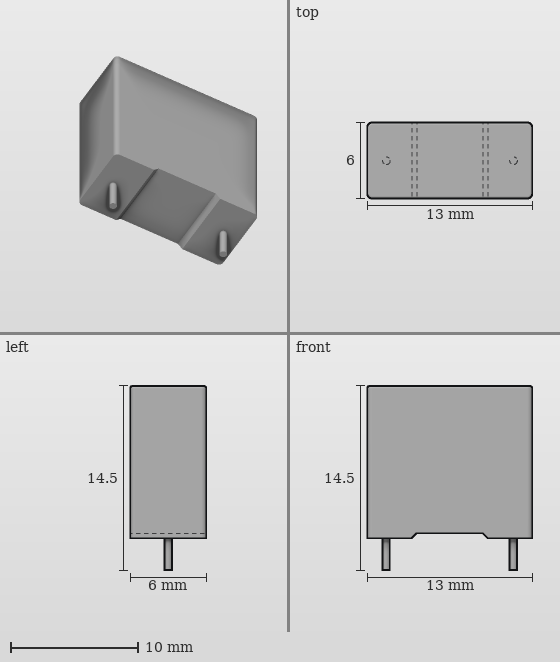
import cadquery as cq

body_length = 13.0
body_width = 6.0
body_height = 12.0
side_edge_radius = 0.4
top_edge_radius = 0.2

relief_mouth_length = 6.0
relief_depth = 0.4
relief_roof_length = relief_mouth_length - 2 * relief_depth

lead_pitch = 10.0
lead_diameter = 0.6
lead_length = 2.5


def make_body():
    """Case with rounded upright edges and a smaller rounding around the top."""
    return (
        cq.Workplane("XY")
        .box(body_length, body_width, body_height, centered=(True, True, False))
        .edges("|Z")
        .fillet(side_edge_radius)
        .faces(">Z")
        .edges()
        .fillet(top_edge_radius)
    )


def make_relief():
    """Trapezoidal prism that narrows upward from the underside."""
    return (
        cq.Workplane("XZ")
        .moveTo(-relief_mouth_length / 2, 0)
        .lineTo(-relief_roof_length / 2, relief_depth)
        .lineTo(relief_roof_length / 2, relief_depth)
        .lineTo(relief_mouth_length / 2, 0)
        .close()
        .extrude(body_width / 2, both=True)
    )


def make_leads():
    """Two leads on the lengthwise centre line, hanging from the underside."""
    return (
        cq.Workplane("XY")
        .pushPoints([(-lead_pitch / 2, 0), (lead_pitch / 2, 0)])
        .circle(lead_diameter / 2)
        .extrude(-lead_length)
    )


result = make_body().cut(make_relief()).union(make_leads())